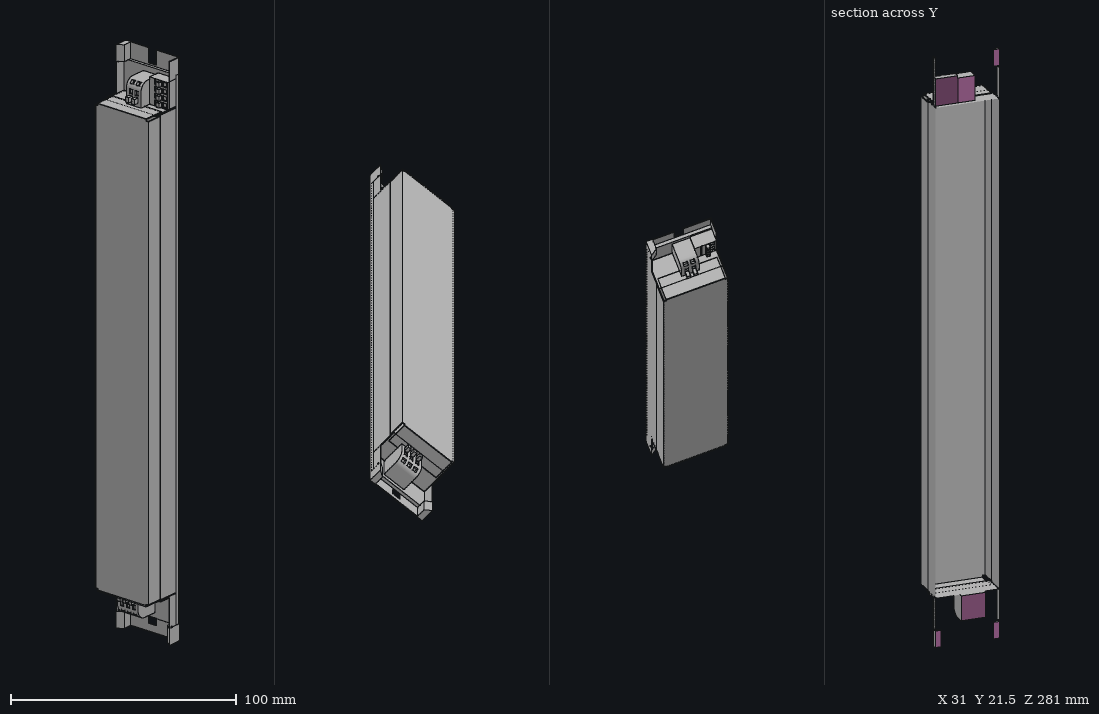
import cadquery as cq
import math

LENGTH = 281.0
WIDTH = 31.0
DEPTH = 21.5
HALF_LENGTH = LENGTH / 2
HALF_WIDTH = WIDTH / 2
BACK_Y = DEPTH / 2
SHEET = 0.42
INNER_X = HALF_WIDTH - SHEET

END_WALL_DEPTH = 7.0
MID_WALL_DEPTH = 13.2
MID_HALF_LENGTH = 117.5
END_PLATE_DEPTH = 15.5
SLOT_WIDTH = 4.2
TOP_SLOT_LENGTH = 7.3
HOLE_LENGTH = 3.5
HOLE_CENTRE_Z = -135.0
RAIL_WIDTH = 3.0
RAIL_ANGLE = 35.0
RELIEF_DEPTH = 5.0
RELIEF_SIZE = 0.5

BOARD_HALF_LENGTH = 132.4
BOARD_DEPTH = 2.0

COVER_SIDE_HALF_LENGTH = 116.3
CAP_HALF_WIDTH = 14.0
CAP_NEAR_DEPTH = 11.0
CAP_INNER_Z = MID_HALF_LENGTH - SHEET

POLE_PITCH = 3.5
TERMINAL_MARGIN = 1.7
TERMINAL_DEPTH = 13.8
TERMINAL_RADIUS = 4.5
TERMINAL_HEIGHT = 12.0
TOP_TERMINAL_X = 0.42
BOTTOM_TERMINAL_X = -2.95
LEVER_WIDTH = 1.7
LEVER_TIP_DEPTH = 16.3
LEVER_START = 2.0
LEVER_HEIGHT = 2.5
POCKET_START = 5.3
POCKET_HEIGHT = 2.2
POCKET_DEPTH = 0.8
WIRE_HOLE = 2.0
WIRE_HOLE_DEPTH = 2.0

SIDE_LEFT_X = TOP_TERMINAL_X + POLE_PITCH + TERMINAL_MARGIN / 2
SIDE_HEIGHT = 13.2
SIDE_DEPTH = 8.0
SIDE_POLES = 4
SIDE_PITCH = SIDE_HEIGHT / SIDE_POLES
SIDE_POLE_HEIGHT = 2.2
SIDE_LEVER_X = 9.8
SIDE_LEVER_DEPTH = 9.5
SIDE_HOLE_X = 12.0
SIDE_HOLE_WIDTH = 2.2
SIDE_SLIT_X = 7.5
SIDE_SLIT_WIDTH = 0.5
SIDE_RECESS = 0.8


def block(x_range, depth_range, z_range):
    """Box between two X values, two depths from the back plane and two Z values."""
    x_min, x_max = x_range
    near, far = depth_range
    z_min, z_max = z_range
    return (
        cq.Workplane("XY")
        .box(x_max - x_min, far - near, z_max - z_min, centered=False)
        .translate((x_min, BACK_Y - far, z_min))
    )


def centred(half):
    return (-half, half)


def side_rail():
    """Rail at the left wall of the top end, bevelled down from the outer edge of the wall."""
    inner_edge = -HALF_WIDTH + RAIL_WIDTH
    inner_depth = END_WALL_DEPTH - RAIL_WIDTH * math.tan(math.radians(RAIL_ANGLE))
    return (
        cq.Workplane("XY", origin=(0, BACK_Y, BOARD_HALF_LENGTH))
        .moveTo(-HALF_WIDTH, 0)
        .lineTo(inner_edge, 0)
        .lineTo(inner_edge, -inner_depth)
        .lineTo(-HALF_WIDTH, -END_WALL_DEPTH)
        .close()
        .extrude(HALF_LENGTH - BOARD_HALF_LENGTH)
    )


def rail_seat():
    """Space cleared for the left rail of the top end, with the relief opening behind it."""
    seat = block(
        (-HALF_WIDTH, -HALF_WIDTH + RAIL_WIDTH),
        (0, END_WALL_DEPTH),
        (BOARD_HALF_LENGTH, HALF_LENGTH),
    )
    relief = block(
        (-HALF_WIDTH, -INNER_X),
        (RELIEF_DEPTH, RELIEF_DEPTH + RELIEF_SIZE),
        (BOARD_HALF_LENGTH - RELIEF_SIZE, BOARD_HALF_LENGTH),
    )
    return seat.union(relief)


def make_base():
    full_length = centred(HALF_LENGTH)
    middle = centred(MID_HALF_LENGTH)

    base = block(centred(HALF_WIDTH), (0, END_WALL_DEPTH), full_length)
    base = base.union(block(centred(HALF_WIDTH), (0, MID_WALL_DEPTH), middle))
    base = base.cut(block(centred(INNER_X), (SHEET, MID_WALL_DEPTH), full_length))

    plate_z = (CAP_INNER_Z - SHEET, CAP_INNER_Z)
    plate = block(centred(INNER_X), (BOARD_DEPTH, END_PLATE_DEPTH), plate_z)
    base = base.union(plate).union(plate.mirror("XY"))

    seat = rail_seat()
    rail = side_rail()
    base = base.cut(seat).union(rail)
    base = base.cut(seat.mirror("XY")).union(rail.mirror("XY"))
    base = base.cut(seat.mirror("XY").mirror("YZ")).union(rail.mirror("XY").mirror("YZ"))

    slot_x = centred(SLOT_WIDTH / 2)
    hole_z = (HOLE_CENTRE_Z - HOLE_LENGTH / 2, HOLE_CENTRE_Z + HOLE_LENGTH / 2)
    base = base.cut(block(slot_x, (0, SHEET), (HALF_LENGTH - TOP_SLOT_LENGTH, HALF_LENGTH)))
    return base.cut(block(slot_x, (0, SHEET), hole_z))


def make_board():
    return block(centred(INNER_X), (SHEET, BOARD_DEPTH), centred(BOARD_HALF_LENGTH))


def make_cover():
    side_z = centred(COVER_SIDE_HALF_LENGTH)
    cover = block(centred(HALF_WIDTH), (MID_WALL_DEPTH, DEPTH), side_z)
    cover = cover.cut(block(centred(INNER_X), (MID_WALL_DEPTH, DEPTH - SHEET), side_z))

    cap_x = centred(CAP_HALF_WIDTH)
    cover = cover.union(block(cap_x, (DEPTH - SHEET, DEPTH), centred(MID_HALF_LENGTH)))
    cap = block(cap_x, (CAP_NEAR_DEPTH, DEPTH), (CAP_INNER_Z, MID_HALF_LENGTH))
    return cover.union(cap).union(cap.mirror("XY"))


def rounded_terminal(centre_x, poles):
    """Terminal at the top end, with a rounded outer front edge and its poles side by side."""
    foot = MID_HALF_LENGTH
    width = poles * POLE_PITCH + TERMINAL_MARGIN
    body = block(
        (centre_x - width / 2, centre_x + width / 2),
        (BOARD_DEPTH, TERMINAL_DEPTH),
        (foot, foot + TERMINAL_HEIGHT),
    )
    body = body.edges("<Y and >Z").fillet(TERMINAL_RADIUS)

    arc_offset = TERMINAL_RADIUS * (1 - math.sqrt(0.5))
    arc_y = BACK_Y - TERMINAL_DEPTH + arc_offset
    arc_z = foot + TERMINAL_HEIGHT - arc_offset

    for pole in range(poles):
        x = centre_x + (pole - (poles - 1) / 2) * POLE_PITCH
        pole_x = (x - LEVER_WIDTH / 2, x + LEVER_WIDTH / 2)
        lever_z = (foot + LEVER_START, foot + LEVER_START + LEVER_HEIGHT)
        pocket_z = (foot + POCKET_START, foot + POCKET_START + POCKET_HEIGHT)
        wire_hole = (
            cq.Workplane("XY")
            .box(WIRE_HOLE, 2 * WIRE_HOLE_DEPTH, WIRE_HOLE)
            .rotate((0, 0, 0), (1, 0, 0), -45)
            .translate((x, arc_y, arc_z))
        )
        body = body.union(block(pole_x, (TERMINAL_DEPTH, LEVER_TIP_DEPTH), lever_z))
        body = body.cut(block(pole_x, (TERMINAL_DEPTH - POCKET_DEPTH, TERMINAL_DEPTH), pocket_z))
        body = body.cut(wire_hole)
    return body


def side_terminal():
    foot = MID_HALF_LENGTH
    body = block((SIDE_LEFT_X, INNER_X), (BOARD_DEPTH, SIDE_DEPTH), (foot, foot + SIDE_HEIGHT))
    for pole in range(SIDE_POLES):
        z = foot + (pole + 0.5) * SIDE_PITCH
        pole_z = (z - SIDE_POLE_HEIGHT / 2, z + SIDE_POLE_HEIGHT / 2)
        recess = (SIDE_DEPTH - SIDE_RECESS, SIDE_DEPTH)
        lever_x = (SIDE_LEVER_X, SIDE_LEVER_X + LEVER_WIDTH)
        body = body.union(block(lever_x, (SIDE_DEPTH, SIDE_LEVER_DEPTH), pole_z))
        body = body.cut(block((SIDE_SLIT_X, SIDE_SLIT_X + SIDE_SLIT_WIDTH), recess, pole_z))
        body = body.cut(block((SIDE_HOLE_X, SIDE_HOLE_X + SIDE_HOLE_WIDTH), recess, pole_z))
    return body


base = make_base()
board = make_board()
cover = make_cover()
top_terminal = rounded_terminal(TOP_TERMINAL_X, 2)
bottom_terminal = rounded_terminal(BOTTOM_TERMINAL_X, 3).mirror("XY")
side_block = side_terminal()

result = cq.Compound.makeCompound(
    [
        base.val(),
        board.val(),
        cover.val(),
        top_terminal.val(),
        bottom_terminal.val(),
        side_block.val(),
    ]
)